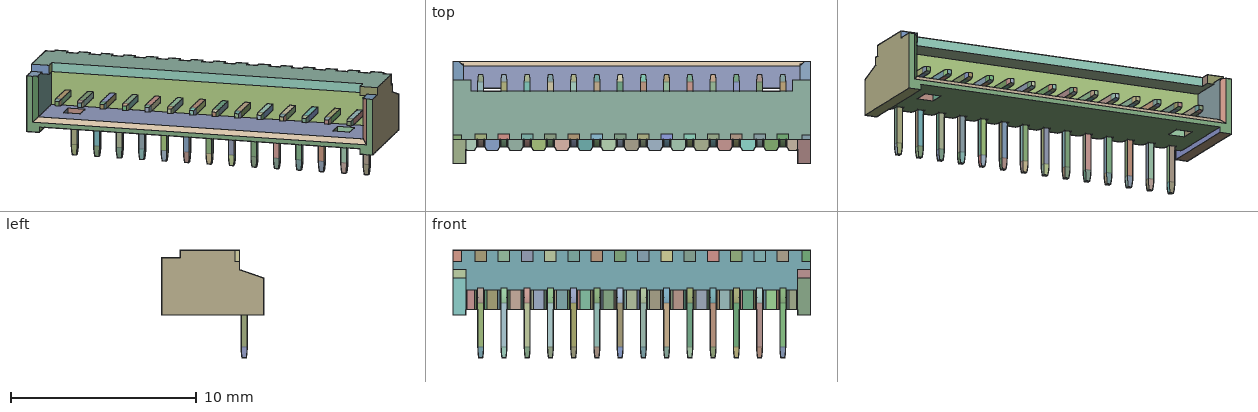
import cadquery as cq
import math


pin_count = 14
pitch = 1.25
pin_width = 0.32
pin_thickness = 0.34
pin_tip_narrowing = 0.1
pin_bend_radius = 1.0
pin_bend_end_z = 0.65
pin_leg_back_y = -4.61
pin_bottom_z = -2.3
leg_tip_length = 0.6
mating_tip_y = -0.7
mating_tip_length = 0.4

length = 19.25
height = 3.5
body_depth = 4.2
total_depth = 5.5
floor_bottom_z = 0.3

end_wall = 0.7
arm_root_z = 2.45
arm_end_z = 2.0

cavity_width = 18.08
cavity_bottom_z = 0.8
cavity_top_z = 3.0
cavity_depth = 3.0
lead_in = 0.25
front_step_depth = 1.0
front_step_height = 0.4
roof_cut_width = 17.3
roof_cut_depth = 1.6

floor_slot_width = 0.94
floor_slot_front_y = -1.45
floor_slot_length = 1.0

notch_width = 0.62
notch_depth = 0.3
notch_height = 0.6
end_notch_width = 0.47
end_notch_depth = 0.25

pad_width = 0.82
pad_bottom_z = floor_bottom_z
pad_top_z = 1.35
pad_depth = 0.6
pad_root_depth = 0.2
pad_chamfer_width = 0.12
pad_chamfer_depth = 0.2
end_pad_burial = 0.06

row_half = (pin_count - 1) * pitch / 2
pin_positions = [i * pitch - row_half for i in range(pin_count)]
pad_positions = [x + pitch / 2 for x in pin_positions[:-1]]


def block(x_range, y_range, z_range):
    """Axis-aligned box from its low and high limits."""
    low, high = zip(x_range, y_range, z_range)
    sizes = [top - bottom for bottom, top in zip(low, high)]
    return cq.Workplane("XY").box(*sizes, centered=False).translate(low)


def centered_range(center, width):
    return (center - width / 2, center + width / 2)


def make_body():
    return block(centered_range(0, length), (-body_depth, 0), (floor_bottom_z, height))


def make_end_wall(x_start):
    outline = [
        (0, 0),
        (0, height - front_step_height),
        (-front_step_depth, height - front_step_height),
        (-front_step_depth, height),
        (-body_depth, height),
        (-body_depth, arm_root_z),
        (-total_depth, arm_end_z),
        (-total_depth, 0),
    ]
    return cq.Workplane("YZ", origin=(x_start, 0, 0)).polyline(outline).close().extrude(end_wall)


def make_cavity():
    """Plug-shaped recess, open at the mating face with a flared lead-in."""
    recess = block(
        centered_range(0, cavity_width), (-cavity_depth, 0), (cavity_bottom_z, cavity_top_z)
    )
    cavity_height = cavity_top_z - cavity_bottom_z
    flare = (
        cq.Workplane("XZ", origin=(0, -lead_in, (cavity_bottom_z + cavity_top_z) / 2))
        .rect(cavity_width, cavity_height)
        .workplane(offset=-lead_in)
        .rect(cavity_width + 2 * lead_in, cavity_height + 2 * lead_in)
        .loft()
    )
    return recess.union(flare)


def make_front_cuts():
    """Step across the front of the top, and the deeper opening in the roof."""
    step = block(
        centered_range(0, length), (-front_step_depth, 0), (height - front_step_height, height)
    )
    roof_opening = block(
        centered_range(0, roof_cut_width), (-roof_cut_depth, 0), (cavity_bottom_z, height)
    )
    wall_opening = block(
        centered_range(0, cavity_width), (-front_step_depth, 0), (cavity_bottom_z, height)
    )
    return step.union(roof_opening).union(wall_opening)


def make_floor_slot(x_center):
    return block(
        centered_range(x_center, floor_slot_width),
        (floor_slot_front_y - floor_slot_length, floor_slot_front_y),
        (0, cavity_bottom_z),
    )


def make_notch(x_range, depth):
    return block(x_range, (-body_depth, -body_depth + depth), (height - notch_height, height))


def make_pad(x_range):
    left, right = x_range
    rear_y = -body_depth - pad_depth
    outline = [
        (left, -body_depth + pad_root_depth),
        (left, rear_y + pad_chamfer_depth),
        (left + pad_chamfer_width, rear_y),
        (right - pad_chamfer_width, rear_y),
        (right, rear_y + pad_chamfer_depth),
        (right, -body_depth + pad_root_depth),
    ]
    return (
        cq.Workplane("XY", origin=(0, 0, pad_bottom_z))
        .polyline(outline)
        .close()
        .extrude(pad_top_z - pad_bottom_z)
    )


def make_tip_profile(plane, width, tip_length):
    """Slab standing on z = 0 whose two sides curve inwards, starting upright."""
    half = width / 2
    end_half = half - pin_tip_narrowing / 2
    return (
        cq.Workplane(plane)
        .moveTo(-half, 0)
        .lineTo(half, 0)
        .threePointArc(arc_middle(half, end_half, tip_length), (end_half, tip_length))
        .lineTo(-end_half, tip_length)
        .threePointArc(arc_middle(-half, -end_half, tip_length), (-half, 0))
        .close()
        .extrude(pin_thickness, both=True)
    )


def arc_middle(base, end, rise):
    """Point halfway along the arc that leaves (base, 0) upright and ends at (end, rise)."""
    inset = abs(base - end)
    radius = (rise**2 + inset**2) / (2 * inset)
    half_angle = math.asin(rise / radius) / 2
    middle = base - math.copysign(radius * (1 - math.cos(half_angle)), base)
    return (middle, radius * math.sin(half_angle))


def make_tip(tip_length):
    """Pin end pointing up from z = 0, rounded off on all four sides."""
    across = make_tip_profile("XZ", pin_width, tip_length)
    along = make_tip_profile("YZ", pin_thickness, tip_length)
    return across.intersect(along)


def make_pin():
    """L-shaped pin at x = 0: straight contact, quarter bend, straight leg, rounded ends."""
    inner_radius = pin_bend_radius - pin_thickness
    bend_y = pin_leg_back_y + pin_bend_radius
    leg_front_y = pin_leg_back_y + pin_thickness
    pin_top_z = pin_bend_end_z + pin_bend_radius
    pin_underside_z = pin_top_z - pin_thickness
    contact_end_y = mating_tip_y - mating_tip_length
    leg_end_z = pin_bottom_z + leg_tip_length

    def bend_middle(radius):
        offset = radius * math.sqrt(0.5)
        return (bend_y - offset, pin_bend_end_z + offset)

    bar = (
        cq.Workplane("YZ", origin=(-pin_width / 2, 0, 0))
        .moveTo(contact_end_y, pin_top_z)
        .lineTo(bend_y, pin_top_z)
        .threePointArc(bend_middle(pin_bend_radius), (pin_leg_back_y, pin_bend_end_z))
        .lineTo(pin_leg_back_y, leg_end_z)
        .lineTo(leg_front_y, leg_end_z)
        .lineTo(leg_front_y, pin_bend_end_z)
        .threePointArc(bend_middle(inner_radius), (bend_y, pin_underside_z))
        .lineTo(contact_end_y, pin_underside_z)
        .close()
        .extrude(pin_width)
    )
    mating_tip = (
        make_tip(mating_tip_length)
        .rotate((0, 0, 0), (1, 0, 0), -90)
        .translate((0, contact_end_y, (pin_top_z + pin_underside_z) / 2))
    )
    leg_tip = (
        make_tip(leg_tip_length)
        .rotate((0, 0, 0), (1, 0, 0), 180)
        .translate((0, (pin_leg_back_y + leg_front_y) / 2, leg_end_z))
    )
    return bar.union(mating_tip).union(leg_tip)


result = make_body()
for wall_start in (-length / 2, length / 2 - end_wall):
    result = result.union(make_end_wall(wall_start))
result = result.cut(make_cavity()).cut(make_front_cuts())

for side in (-1, 1):
    result = result.cut(make_floor_slot(side * (row_half - pitch / 2)))
for x in pin_positions:
    result = result.cut(make_notch(centered_range(x, notch_width), notch_depth))
result = result.cut(make_notch((-length / 2, -length / 2 + end_notch_width), end_notch_depth))
result = result.cut(make_notch((length / 2 - end_notch_width, length / 2), end_notch_depth))

for x in pad_positions:
    result = result.union(make_pad(centered_range(x, pad_width)))
end_pad_inner = row_half + (pitch - pad_width) / 2
end_pad_outer = length / 2 - end_wall + end_pad_burial
result = result.union(make_pad((end_pad_inner, end_pad_outer)))
result = result.union(make_pad((-end_pad_outer, -end_pad_inner)))

pin = make_pin()
for x in pin_positions:
    result = result.union(pin.translate((x, 0, 0)))